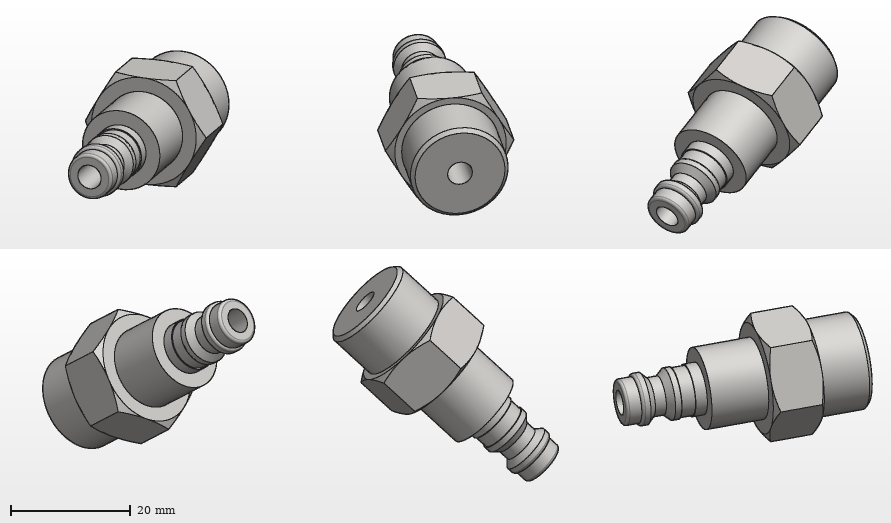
import cadquery as cq
import math

total_length = 42.0
body_start = 14.0
hex_start = 24.0
hex_length = 9.0
hex_end = hex_start + hex_length

tip_end = 2.6
front_collar_end = 4.07
groove_start = 5.2
groove_end = 7.15
rear_collar_start = 8.4
rear_collar_end = 9.55
neck_end = 11.95

tip_radius = 4.0
collar_radius = 4.5
groove_radius = 3.35
neck_radius = 4.3
body_radius = 7.0
rear_radius = 8.3
bore_radius = 2.1

across_flats = 19.0
corner_radius = across_flats / math.sqrt(3)
hex_chamfer_angle = 30.0
rear_chamfer = 0.67
edge_round = 0.5


def turned_body():
    """Stepped plug, body and rear spigot, revolved about Y."""
    arc_offset = edge_round * math.sqrt(0.5)
    tip_arc_center = (tip_radius - edge_round, edge_round)
    collar_arc_center = (collar_radius - edge_round, tip_end + edge_round)

    def arc_middle(center):
        return (center[0] + arc_offset, center[1] - arc_offset)

    return (
        cq.Workplane("XY")
        .moveTo(0, 0)
        .lineTo(tip_arc_center[0], 0)
        .threePointArc(arc_middle(tip_arc_center), (tip_radius, edge_round))
        .lineTo(tip_radius, tip_end)
        .threePointArc(arc_middle(collar_arc_center), (collar_radius, tip_end + edge_round))
        .lineTo(collar_radius, front_collar_end)
        .lineTo(groove_radius, groove_start)
        .lineTo(groove_radius, groove_end)
        .lineTo(collar_radius, rear_collar_start)
        .lineTo(collar_radius, rear_collar_end)
        .lineTo(neck_radius, rear_collar_end)
        .lineTo(neck_radius, neck_end)
        .lineTo(collar_radius, neck_end)
        .lineTo(collar_radius, body_start)
        .lineTo(body_radius, body_start)
        .lineTo(body_radius, hex_end)
        .lineTo(rear_radius, hex_end)
        .lineTo(rear_radius, total_length - rear_chamfer)
        .lineTo(rear_radius - rear_chamfer, total_length)
        .lineTo(0, total_length)
        .close()
        .revolve(360, (0, 0), (0, 1))
    )


def hexagon():
    """Hexagonal nut with corners on the X axis, turned to a cone at both ends."""
    flat_radius = across_flats / 2
    corner_drop = (corner_radius - flat_radius) * math.tan(math.radians(hex_chamfer_angle))
    prism = (
        cq.Workplane("XZ", origin=(0, hex_start, 0))
        .polygon(6, 2 * corner_radius)
        .extrude(-hex_length)
    )
    envelope = (
        cq.Workplane("XY")
        .moveTo(0, hex_start)
        .lineTo(flat_radius, hex_start)
        .lineTo(corner_radius, hex_start + corner_drop)
        .lineTo(corner_radius, hex_end - corner_drop)
        .lineTo(flat_radius, hex_end)
        .lineTo(0, hex_end)
        .close()
        .revolve(360, (0, 0), (0, 1))
    )
    return prism.intersect(envelope)


def bore():
    """Straight passage through the full length."""
    return cq.Workplane("XZ").circle(bore_radius).extrude(-total_length)


result = turned_body().union(hexagon()).cut(bore())